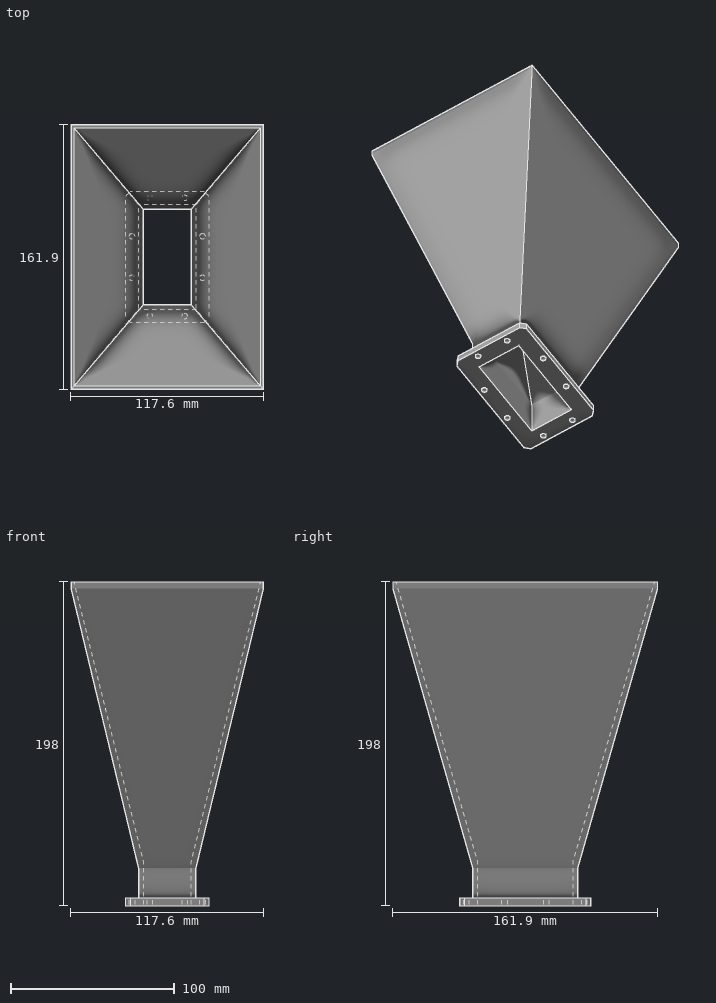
import cadquery as cq

total_height = 198.0
flange_thickness = 5.0
neck_height = 18.0
rim_height = 4.0
neck_top = flange_thickness + neck_height
rim_bottom = total_height - rim_height

mouth_x = 117.6
mouth_y = 161.88
rim_wall_x = 1.8
rim_wall_y = 2.0

outlet_x = 29.08
outlet_y = 58.17
neck_wall = 3.0
neck_x = outlet_x + 2 * neck_wall
neck_y = outlet_y + 2 * neck_wall

inner_taper_bottom = neck_top + rim_height

flange_margin = 8.0
flange_x = neck_x + 2 * flange_margin
flange_y = neck_y + 2 * flange_margin
corner_chamfer = 3.0

hole_diameter = 3.4
hole_spacing_x = 21.3
hole_spacing_y = 25.4
hole_row_x = neck_x / 2 + flange_margin / 2
hole_row_y = neck_y / 2 + flange_margin / 2


def block(size_x, size_y, bottom, top):
    """Centred rectangular block between two heights."""
    return cq.Workplane("XY").workplane(offset=bottom).rect(size_x, size_y).extrude(top - bottom)


def taper(lower_x, lower_y, upper_x, upper_y, bottom, top):
    """Centred rectangular taper between two heights."""
    return (
        cq.Workplane("XY")
        .workplane(offset=bottom)
        .rect(lower_x, lower_y)
        .workplane(offset=top - bottom)
        .rect(upper_x, upper_y)
        .loft(ruled=True)
    )


def make_flange():
    """Mounting plate with bevelled corners and a ring of screw holes."""
    hole_centres = []
    for side in (-1, 1):
        for end in (-1, 1):
            hole_centres.append((side * hole_row_x, end * hole_spacing_y / 2))
            hole_centres.append((end * hole_spacing_x / 2, side * hole_row_y))
    plate = block(flange_x, flange_y, 0, flange_thickness).edges("|Z").chamfer(corner_chamfer)
    return plate.faces(">Z").workplane().pushPoints(hole_centres).hole(hole_diameter)


def make_shell():
    """Solid outside shape of the neck, the tapered body and the rim."""
    neck = block(neck_x, neck_y, flange_thickness, neck_top)
    body = taper(neck_x, neck_y, mouth_x, mouth_y, neck_top, rim_bottom)
    rim = block(mouth_x, mouth_y, rim_bottom, total_height)
    return neck.union(body).union(rim)


def make_passage():
    """Inside space, open from the mouth to the underside of the flange."""
    mouth_inner_x = mouth_x - 2 * rim_wall_x
    mouth_inner_y = mouth_y - 2 * rim_wall_y
    outlet = block(outlet_x, outlet_y, 0, inner_taper_bottom)
    funnel = taper(outlet_x, outlet_y, mouth_inner_x, mouth_inner_y, inner_taper_bottom, total_height)
    return outlet.union(funnel)


result = make_flange().union(make_shell()).cut(make_passage())